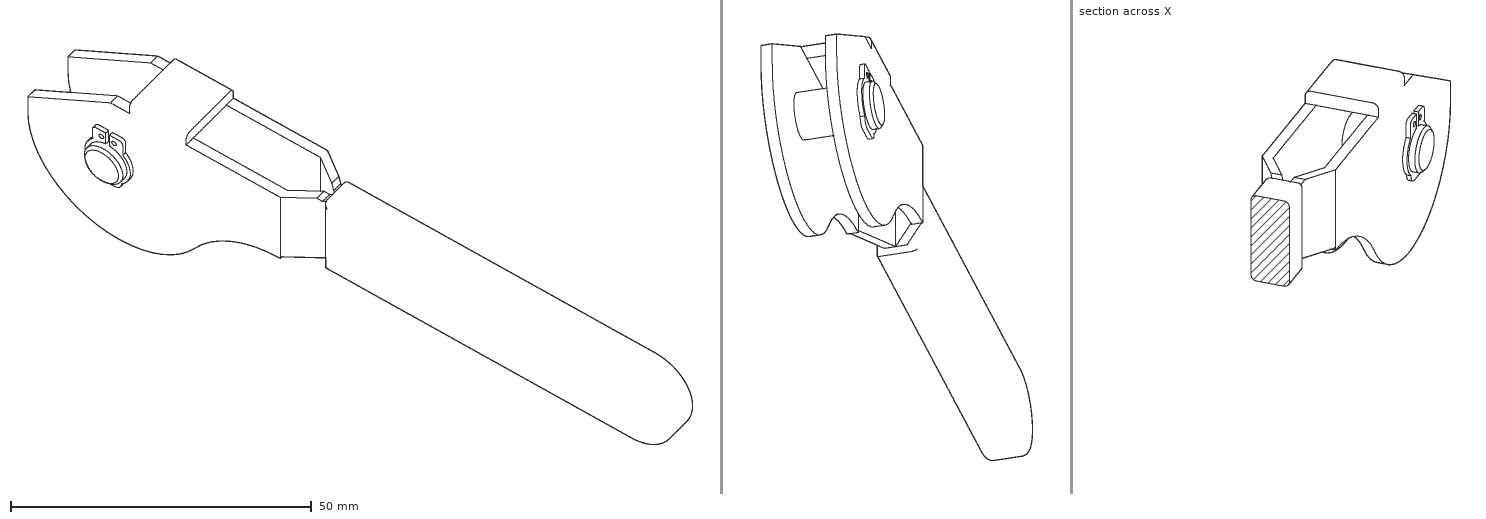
import cadquery as cq
import math


overall_length = 131.1

plate_thickness = 2.0
plate_gap = 9.2
plate_inner = plate_gap / 2
plate_outer = plate_inner + plate_thickness
plate_top = 13.8
cam_radius = 19.0
cam_center_x = 1.8
cam_left = cam_center_x - cam_radius
nose_top_x = 0.0
nose_angle = math.radians(30)
nose_left_z = plate_top - (nose_top_x - cam_left) * math.tan(nose_angle)

neck_start = 35.3
neck_end = 41.8
throat_z = -1.5
neck_bottom = -1.0
notch_start = 40.2
notch_depth = 0.8
tang_length = 2.6
tang_end = neck_end + tang_length
tang_top = plate_top - notch_depth

grip_left = neck_end
grip_right = cam_left + overall_length
grip_top = plate_top
grip_height = 16.3
grip_width = 7.0
grip_fillet = 1.0

bridge_left = 3.9
bridge_length = 11.8
bridge_height = 2.5
bridge_fillet = 1.0

pin_diameter = 8.0
pin_length = 18.0
pin_chamfer = 0.5

ring_thickness = 0.8
ring_radius = 4.7
foot_width = 5.8
foot_bottom = -5.4
foot_corner = 1.6
lug_width = 6.3
lug_top = 6.7
lug_corner = 0.8
lug_slot = 0.8
lug_hole_diameter = 0.9
lug_hole_x = 1.3
lug_hole_z = 5.2


def along_y(y_start):
    """Sketch plane with local axes X and Z whose extrusions run towards -Y."""
    return cq.Workplane(cq.Plane(origin=(0, y_start, 0), xDir=(1, 0, 0), normal=(0, -1, 0)))


def plate_outline():
    """Side outline of a plate: cam, throat arc tangent to it, neck and tang."""
    run = neck_start - cam_center_x
    throat_radius = (run**2 + throat_z**2 - cam_radius**2) / (2 * (cam_radius + throat_z))
    throat_center_z = throat_z - throat_radius
    tangent_angle = math.atan2(throat_center_z, run)
    throat_middle_angle = (math.pi / 2 + tangent_angle + math.pi) / 2

    tangent_point = (
        cam_center_x + cam_radius * math.cos(tangent_angle),
        cam_radius * math.sin(tangent_angle),
    )
    throat_middle = (
        neck_start + throat_radius * math.cos(throat_middle_angle),
        throat_center_z + throat_radius * math.sin(throat_middle_angle),
    )
    return (
        along_y(plate_outer)
        .moveTo(cam_left, 0)
        .lineTo(cam_left, nose_left_z)
        .lineTo(nose_top_x, plate_top)
        .lineTo(notch_start, plate_top)
        .lineTo(notch_start + notch_depth, tang_top)
        .lineTo(tang_end, tang_top)
        .lineTo(tang_end, neck_bottom)
        .lineTo(neck_start, neck_bottom)
        .lineTo(neck_start, throat_z)
        .threePointArc(throat_middle, tangent_point)
        .threePointArc((cam_center_x, -cam_radius), (cam_left, 0))
        .close()
        .extrude(2 * plate_outer)
    )


def plate_plan(side):
    """Plan of one plate, tall enough to be trimmed by the side outline."""
    points = [
        (cam_left, plate_inner),
        (neck_start, plate_inner),
        (neck_end, 0),
        (tang_end, 0),
        (tang_end, plate_thickness),
        (neck_end, plate_thickness),
        (neck_start, plate_outer),
        (cam_left, plate_outer),
    ]
    return (
        cq.Workplane("XY")
        .polyline([(x, side * y) for x, y in points])
        .close()
        .extrude(cam_radius + plate_top)
        .translate((0, 0, -cam_radius))
    )


def grip():
    """Flat bar with a full-round end and rounded edges on both broad faces."""
    end_radius = grip_height / 2
    bottom = grip_top - grip_height
    round_start = grip_right - end_radius
    return (
        along_y(grip_width / 2)
        .moveTo(grip_left, bottom)
        .lineTo(round_start, bottom)
        .threePointArc((grip_right, grip_top - end_radius), (round_start, grip_top))
        .lineTo(grip_left, grip_top)
        .close()
        .extrude(grip_width)
        .faces("<Y or >Y")
        .edges()
        .fillet(grip_fillet)
    )


def bridge():
    """Strip across both plates, rounded along its two upper outer edges."""
    return (
        cq.Workplane("XY")
        .box(bridge_length, 2 * plate_outer, bridge_height, centered=(False, True, False))
        .translate((bridge_left, 0, plate_top))
        .faces(">Z")
        .edges("|X")
        .fillet(bridge_fillet)
    )


def pin():
    """Pivot pin with both ends chamfered."""
    return (
        along_y(pin_length / 2)
        .circle(pin_diameter / 2)
        .extrude(pin_length)
        .faces("<Y or >Y")
        .chamfer(pin_chamfer)
    )


def retaining_ring(y_far):
    """Ring with two slotted lugs above and a foot below, from y_far towards -Y."""
    def sketch():
        return along_y(y_far)

    def tab(width, reach, corner, outer_edges):
        block = sketch().center(0, reach / 2).rect(width, abs(reach)).extrude(ring_thickness)
        return block.edges("|Y").edges(outer_edges).fillet(corner)

    body = sketch().circle(ring_radius).extrude(ring_thickness)
    lugs = tab(lug_width, lug_top, lug_corner, ">Z")
    foot = tab(foot_width, foot_bottom, foot_corner, "<Z")
    slot = sketch().center(0, lug_top / 2).rect(lug_slot, lug_top).extrude(ring_thickness)
    holes = (
        sketch()
        .pushPoints([(-lug_hole_x, lug_hole_z), (lug_hole_x, lug_hole_z)])
        .circle(lug_hole_diameter / 2)
        .extrude(ring_thickness)
    )
    return body.union(lugs).union(foot).cut(slot).cut(holes)


outline = plate_outline()
result = grip().union(bridge())
for side in (-1, 1):
    result = result.union(plate_plan(side).intersect(outline))
for y_far in (plate_outer + ring_thickness, -plate_outer):
    result = result.union(retaining_ring(y_far))
result = result.union(pin())